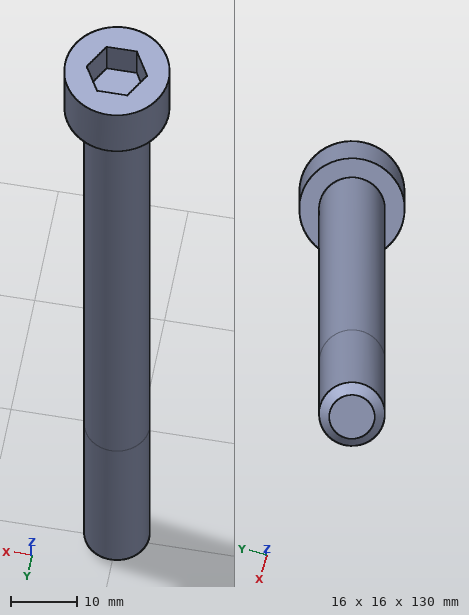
import cadquery as cq
import math

total_length = 130.0
head_diameter = 16.0
head_height = 10.0
shank_diameter = 10.0
thread_length = 32.0
tip_chamfer = 1.5
hex_across_flats = 8.0
hex_depth = 6.0

under_head_z = total_length - head_height
hex_across_corners = hex_across_flats / math.cos(math.pi / 6)


def rod(diameter, bottom_z, top_z):
    """Cylinder on the screw axis between two heights."""
    return cq.Workplane("XY").workplane(offset=bottom_z).circle(diameter / 2).extrude(top_z - bottom_z)


thread = rod(shank_diameter, 0, thread_length).faces("<Z").chamfer(tip_chamfer)
shank = rod(shank_diameter, thread_length, under_head_z)
head = rod(head_diameter, under_head_z, total_length)

socket = (
    cq.Workplane("XY")
    .workplane(offset=total_length)
    .polygon(6, hex_across_corners)
    .extrude(-hex_depth)
)

result = thread.union(shank, clean=False).union(head, clean=False).cut(socket, clean=False)